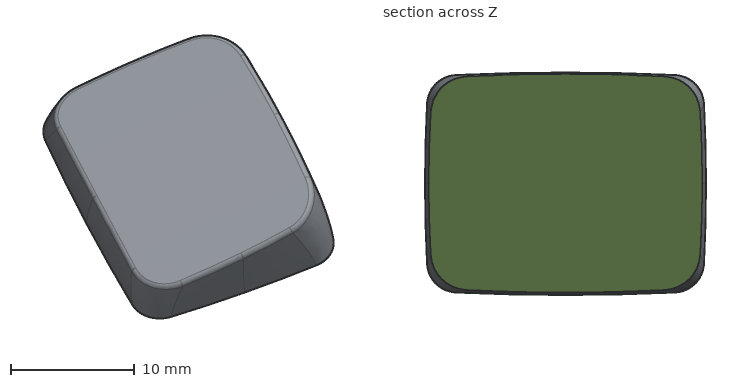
import cadquery as cq
import math

LENGTH = 22.73
WIDTH = 18.0

SIDE_LEAN = 0.17
FRONT_CURL_RADIUS = 9.1
BACK_CURL_RADIUS = 16.37
CORNER_RADIUS = 2.5
CORNER_GROWTH = 0.28
BOW_X = 0.3
BOW_GROWTH = 0.03
BOW_Y = 0.32
LOFT_HEIGHT = 6.6
LOFT_STEPS = 2
TOLERANCE = 0.0002

TILT = 9.2
CROWN_RADIUS = 90.92
CROWN_APEX_AT_CENTRE = 4.77
EDGE_FILLET = 0.45

STEM_DIAMETER = 5.5
STEM_LENGTH = 2.4
STEM_FILLET = 0.14


def bow_radius(half_chord, bow):
    """Radius of an arc that rises by bow over a chord of twice half_chord."""
    return (half_chord**2 + bow**2) / (2 * bow)


def section(z):
    """Horizontal outline at height z: four bowed sides with rounded corners."""
    half_x = LENGTH / 2 - SIDE_LEAN * z
    front = -WIDTH / 2 + z**2 / (2 * FRONT_CURL_RADIUS)
    back = WIDTH / 2 - z**2 / (2 * BACK_CURL_RADIUS)
    middle = (front + back) / 2
    bow_x = BOW_X + BOW_GROWTH * z
    bow_y = BOW_Y + BOW_GROWTH * z
    corner_x = half_x - bow_x
    corner_front = front + bow_y
    corner_back = back - bow_y
    end_radius = -bow_radius((corner_back - corner_front) / 2, bow_x)
    long_radius = -bow_radius(corner_x, bow_y)
    outline = (
        cq.Workplane("XY", origin=(0, 0, z))
        .moveTo(0, front)
        .radiusArc((corner_x, corner_front), long_radius)
        .radiusArc((half_x, middle), end_radius)
        .radiusArc((corner_x, corner_back), end_radius)
        .radiusArc((0, back), long_radius)
        .radiusArc((-corner_x, corner_back), long_radius)
        .radiusArc((-half_x, middle), end_radius)
        .radiusArc((-corner_x, corner_front), end_radius)
        .radiusArc((0, front), long_radius)
        .close()
        .val()
    )
    corners = [v for v in outline.Vertices() if abs(abs(v.X) - corner_x) < TOLERANCE]
    return outline.fillet2D(CORNER_RADIUS + CORNER_GROWTH * z, corners)


def body():
    """Lofted walls, trimmed by the crown and rounded along the top edge."""
    heights = [LOFT_HEIGHT * step / LOFT_STEPS for step in range(LOFT_STEPS + 1)]
    walls = cq.Workplane(cq.Solid.makeLoft([section(z) for z in heights]))
    tilt = math.radians(TILT)
    along = cq.Vector(0, math.cos(tilt), math.sin(tilt))
    up = cq.Vector(0, -math.sin(tilt), math.cos(tilt))
    apex = cq.Vector(0, 0, CROWN_APEX_AT_CENTRE)
    start = apex - up * CROWN_RADIUS - along * LENGTH
    crown = cq.Solid.makeCylinder(CROWN_RADIUS, 2 * LENGTH, start, along)
    return walls.intersect(cq.Workplane(crown)).faces(">Z").edges().fillet(EDGE_FILLET)


def stem():
    """Plain round stem with a softened lower rim."""
    return (
        cq.Workplane("XY")
        .circle(STEM_DIAMETER / 2)
        .extrude(-STEM_LENGTH)
        .faces("<Z")
        .edges()
        .fillet(STEM_FILLET)
    )


result = body().union(stem())